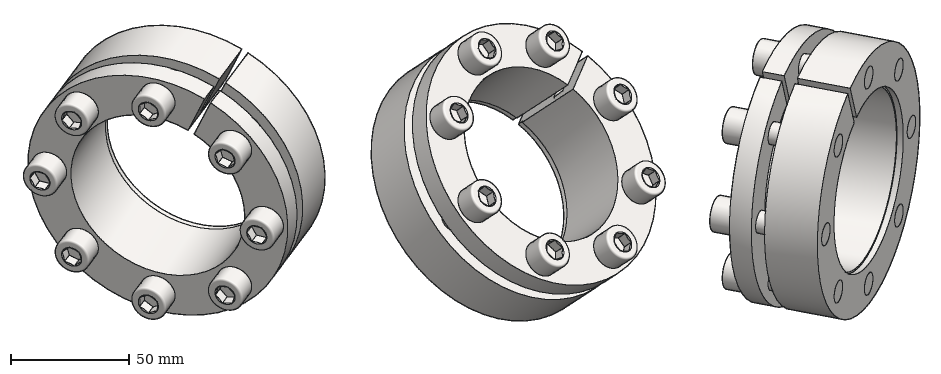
import cadquery as cq
import math

outer_radius = 60.0
bore_radius = 40.0
front_flange_width = 10.0
gap_width = 6.0
back_ring_width = 24.0
taper_angle = 7.5
taper_slope = math.tan(math.radians(taper_angle))
hub_back_radius = 43.7
hub_front_radius = hub_back_radius + gap_width * taper_slope
bore_setback = 3.0
recess_mouth_radius = hub_back_radius - back_ring_width * taper_slope
recess_floor_radius = recess_mouth_radius + bore_setback * taper_slope
slit_width = 3.0
slit_overrun = 1.2

screw_count = 8
screw_pitch = 360.0 / screw_count
screw_circle_radius = 50.0
shank_diameter = 10.0
head_diameter = 16.0
head_height = 10.1
head_edge_radius = 1.0
socket_sides = 6
socket_across_flats = 8.0
socket_corner_diameter = socket_across_flats / math.cos(math.pi / socket_sides)
socket_depth = 5.0
socket_mouth_slope_angle = 30.0
socket_mouth_radius = socket_corner_diameter / 2
socket_mouth_depth = socket_mouth_radius * math.tan(math.radians(socket_mouth_slope_angle))

gap_front_y = front_flange_width
gap_back_y = gap_front_y + gap_width
back_face_y = gap_back_y + back_ring_width
recess_floor_y = back_face_y - bore_setback
head_top_y = -head_height
screw_tip_y = back_face_y

slit_angle = 1.5 * screw_pitch


def place_on_circle(body, index):
    """Move a body from the Y axis to the given station on the screw circle."""
    at_top = body.translate((0, 0, screw_circle_radius))
    return at_top.rotate((0, 0, 0), (0, 1, 0), index * screw_pitch)


def cylinder_y(diameter, start_y, end_y):
    """Solid cylinder around the Y axis."""
    base = cq.Workplane("XZ", origin=(0, start_y, 0))
    return base.circle(diameter / 2).extrude(start_y - end_y)


def revolve_around_y(profile):
    """Solid of revolution around the Y axis from (y, radius) points."""
    return cq.Workplane("YZ").polyline(profile).close().revolve(360, (0, 0, 0), (1, 0, 0))


def make_clamp_ring():
    """Front flange and thick back ring, joined by a tapered hub and split by one slit.

    The bore stops short of the back face, in a shallow recess whose wall continues the hub taper.
    """
    ring = revolve_around_y([
        (0, bore_radius),
        (0, outer_radius),
        (gap_front_y, outer_radius),
        (gap_front_y, hub_front_radius),
        (gap_back_y, hub_back_radius),
        (gap_back_y, outer_radius),
        (back_face_y, outer_radius),
        (back_face_y, recess_mouth_radius),
        (recess_floor_y, recess_floor_radius),
        (recess_floor_y, bore_radius),
    ])
    slit = (
        cq.Workplane("XY")
        .box(outer_radius + slit_overrun, back_face_y, slit_width, centered=(False, False, True))
        .rotate((0, 0, 0), (0, 1, 0), -slit_angle)
    )
    ring = ring.cut(slit)
    screw_hole = cylinder_y(shank_diameter, 0, screw_tip_y)
    for index in range(screw_count):
        ring = ring.cut(place_on_circle(screw_hole, index))
    return ring


def make_socket():
    """Hexagonal socket with a conical mouth, open towards -Y, one corner pointing to +Z."""
    hexagon = (
        cq.Workplane("XZ", origin=(0, head_top_y, 0))
        .transformed(rotate=(0, 0, 90))
        .polygon(socket_sides, socket_corner_diameter)
        .extrude(-socket_depth)
    )
    mouth = revolve_around_y([
        (head_top_y, 0),
        (head_top_y, socket_mouth_radius),
        (head_top_y + socket_mouth_depth, 0),
    ])
    return hexagon.union(mouth)


def make_screw():
    """Socket head cap screw on the Y axis, head towards -Y."""
    head = cylinder_y(head_diameter, head_top_y, 0).faces("<Y").edges().fillet(head_edge_radius)
    shank = cylinder_y(shank_diameter, 0, screw_tip_y)
    return head.union(shank).cut(make_socket())


clamp_ring = make_clamp_ring()
screw = make_screw()
screws = [place_on_circle(screw, index) for index in range(screw_count)]

result = cq.Compound.makeCompound([clamp_ring.val(), *[placed.val() for placed in screws]])